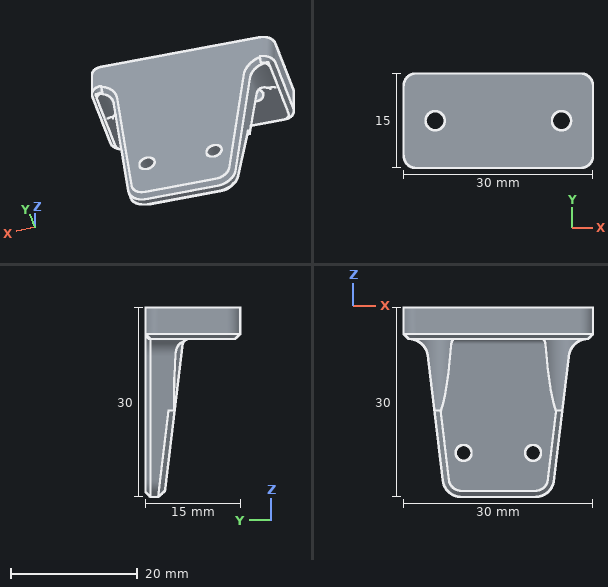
import cadquery as cq

length = 30.0
width = 15.0
height = 30.0
plate_thickness = 5.0
plate_corner_radius = 2.0
underside = height - plate_thickness
center_x = length / 2

foot_width = 16.98
root_width = 22.98
foot_thickness = 3.0
root_thickness = 6.0
foot_corner_radius = 3.0
side_fillet = 3.0
front_fillet = 1.0

plate_chamfer = 0.8
rear_chamfer = 0.8
front_chamfer = 1.0
front_chamfer_top = 13.68

plate_hole_diameter = 3.0
plate_hole_spacing = 19.98
clearance_diameter = 6.0
leg_hole_diameter = 2.5
leg_hole_spacing = 10.98
leg_hole_height = 7.0


def rounded_block(bottom, top):
    """Block with the outline of the plate between two heights."""
    blank = cq.Workplane("XY", origin=(0, 0, bottom)).rect(length, width, centered=False)
    return blank.extrude(top - bottom).edges("|Z").fillet(plate_corner_radius)


def make_plate():
    """Rectangular plate with rounded corners and a bevelled underside."""
    return rounded_block(underside, height).faces("<Z").edges().chamfer(plate_chamfer)


def front_outline_body():
    """Tapered leg with flared root and rounded foot, its rear outline bevelled."""
    outline = [
        (center_x - foot_width / 2, 0),
        (center_x + foot_width / 2, 0),
        (center_x + root_width / 2, underside),
        (length - plate_chamfer, underside),
        (length - plate_chamfer, height),
        (plate_chamfer, height),
        (plate_chamfer, underside),
        (center_x - root_width / 2, underside),
    ]
    body = cq.Workplane("XZ").polyline(outline).close().extrude(-width)
    root_edges = cq.selectors.BoxSelector(
        (center_x - root_width / 2 - 0.3, -0.3, underside - 0.3),
        (center_x + root_width / 2 + 0.3, width + 0.3, underside + 0.3),
    )
    body = body.edges("|Y").edges(root_edges).fillet(side_fillet)
    body = body.faces("<Z").edges("|Y").fillet(foot_corner_radius)
    rear_outline = body.faces(">Y").edges("not(>Z or |Z)")
    return rear_outline.chamfer(rear_chamfer)


def side_outline_body():
    """Wedge that thickens towards the plate, with a fillet along its front root."""
    outline = [
        (width, 0),
        (width, height),
        (0, height),
        (0, underside),
        (width - root_thickness, underside),
        (width - foot_thickness, 0),
    ]
    body = cq.Workplane("YZ").polyline(outline).close().extrude(length)
    root_edge = cq.selectors.NearestToPointSelector((center_x, width - root_thickness, underside))
    return body.edges("|X").edges(root_edge).fillet(front_fillet)


def make_leg():
    """Overlap of the front and side outlines, kept inside the outline of the plate."""
    leg = front_outline_body().intersect(side_outline_body()).intersect(rounded_block(0, height))
    below_plate = cq.Workplane("XY").rect(length, width, centered=False).extrude(underside)
    head_corner = (plate_corner_radius, width - root_thickness, underside)
    head_length = length - 2 * plate_corner_radius
    head = cq.Workplane("XY", origin=head_corner).rect(head_length, root_thickness, centered=False)
    return leg.intersect(below_plate.union(head.extrude(plate_thickness)))


def chamfer_leg_front(leg):
    """Bevel the front rim of the leg up to where the screw clearance begins."""
    lower_box = cq.Workplane("XY").rect(length, width, centered=False).extrude(front_chamfer_top)
    lower = leg.intersect(lower_box)
    upper = leg.cut(lower_box)
    rim = lower.faces("<Y").edges("not(>Z)")
    return upper.union(rim.chamfer(front_chamfer))


def cylinders(plane, origin, spacing, diameter, depth):
    """Pair of cylinders placed symmetrically about the middle of the part."""
    pair = cq.Workplane(plane, origin=origin).pushPoints([(-spacing / 2, 0), (spacing / 2, 0)])
    return pair.circle(diameter / 2).extrude(depth)


body = make_plate().union(chamfer_leg_front(make_leg()))

plate_holes_origin = (center_x, width / 2, 0)
body = body.cut(cylinders("XY", plate_holes_origin, plate_hole_spacing, plate_hole_diameter, height))
body = body.cut(cylinders("XY", plate_holes_origin, plate_hole_spacing, clearance_diameter, underside))
leg_holes_origin = (center_x, 0, leg_hole_height)
result = body.cut(cylinders("XZ", leg_holes_origin, leg_hole_spacing, leg_hole_diameter, -width))